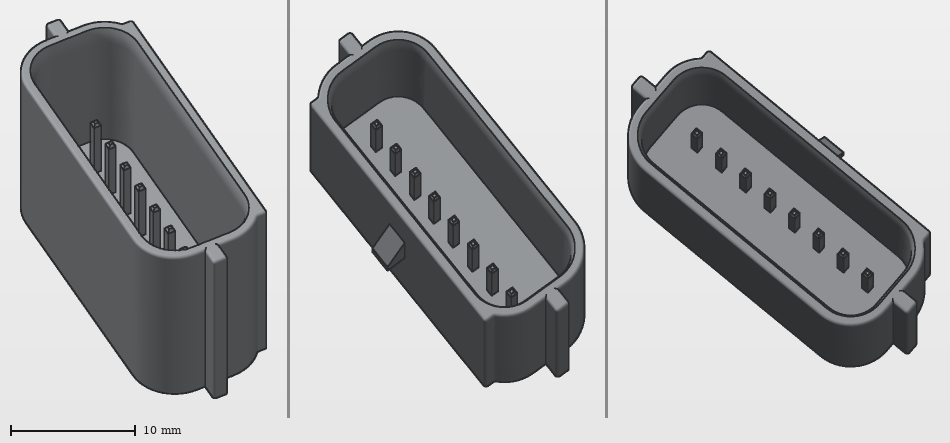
import cadquery as cq
import math

body_length = 25.95
body_width = 10.9
body_height = 16.5
corner_radius = 3.8
wall = 1.1
wall_draft = 0.5
floor_thickness = 3.47
edge_radius = 0.25

flare_width = 0.32
flare_depth = 1.35
flare_radius = (flare_depth**2 + flare_width**2) / (2 * flare_width)

flange_length = 23.28
side_arc_centre_x = body_length / 2 - corner_radius
side_arc_centre_y = body_width / 2 - corner_radius
flange_corner_offset = flange_length / 2 - side_arc_centre_x
flange_corner_y = side_arc_centre_y + math.sqrt(corner_radius**2 - flange_corner_offset**2)

rib_span = 28.95
rib_width = 1.3
rib_y = -0.25

latch_width = 2.0
latch_reach = 1.75
latch_top_depth = 5.18
latch_knee_depth = 8.15
latch_tip_depth = 9.1
latch_root_depth = 8.97

pin_count = 8
pin_pitch = 2.55
pin_y = 0.72
pin_size = 0.65
pin_height = 5.8
tip_inset = 0.17
tip_length = 0.3

back_y = body_width / 2
latch_root_y = back_y - wall / 2


def rounded_block(length, width, height, radius, bottom):
    """Upright block with rounded vertical edges, centred on the Z axis."""
    block = cq.Workplane("XY").workplane(offset=bottom).rect(length, width).extrude(height)
    return block.edges("|Z").fillet(radius)


def make_outer():
    """Solid outside: shell, back flange and end ribs, rounded along the top edge."""
    shell = rounded_block(body_length, body_width, body_height, corner_radius, 0)

    flange = (
        cq.Workplane("XY")
        .rect(flange_length, back_y)
        .extrude(body_height)
        .translate((0, back_y / 2, 0))
        .edges("|Z and >Y")
        .fillet(edge_radius)
    )
    outer = shell.union(flange)

    for side in (-1, 1):
        corner = cq.selectors.NearestToPointSelector(
            (side * flange_length / 2, flange_corner_y, body_height / 2)
        )
        outer = outer.edges("|Z").edges(corner).fillet(edge_radius)

    ribs = (
        cq.Workplane("XY")
        .rect(rib_span, rib_width)
        .extrude(body_height)
        .edges("|Z")
        .fillet(edge_radius)
        .translate((0, rib_y, 0))
    )
    return outer.union(ribs).faces(">Z").edges().fillet(edge_radius)


def make_cavity():
    """Slightly tapered pocket below a flared mouth that is cut off level with the rim."""
    length = body_length - 2 * wall
    width = body_width - 2 * wall
    radius = corner_radius - wall
    flare_bottom = body_height - flare_depth
    flare_top = flare_bottom + flare_radius
    plate_margin = 4 * flare_radius
    plate_thickness = 0.3

    pocket = (
        cq.Workplane("XY")
        .workplane(offset=flare_bottom)
        .sketch()
        .rect(length, width)
        .vertices()
        .fillet(radius)
        .finalize()
        .extrude(floor_thickness - flare_bottom, taper=wall_draft)
    )

    mouth = rounded_block(length, width, flare_top, radius, 0)
    plate = (
        cq.Workplane("XY")
        .workplane(offset=flare_top)
        .rect(length + plate_margin, width + plate_margin)
        .extrude(plate_thickness)
    )
    mouth_edges = cq.selectors.BoxSelector(
        (-length / 2, -width / 2, flare_top - plate_thickness / 2),
        (length / 2, width / 2, flare_top + plate_thickness / 2),
    )
    flare = mouth.union(plate).edges(mouth_edges).fillet(flare_radius)
    flare_band = (
        cq.Workplane("XY")
        .workplane(offset=flare_bottom)
        .rect(body_length, body_width)
        .extrude(flare_depth)
    )
    return pocket.union(flare.intersect(flare_band))


def make_latch():
    """Wedge-shaped catch on the back face."""
    profile = [
        (latch_root_y, body_height - latch_top_depth),
        (back_y, body_height - latch_top_depth),
        (back_y + latch_reach, body_height - latch_knee_depth),
        (back_y + latch_reach, body_height - latch_tip_depth),
        (back_y, body_height - latch_root_depth),
        (latch_root_y, body_height - latch_root_depth),
    ]
    return cq.Workplane("YZ").polyline(profile).close().extrude(latch_width / 2, both=True)


def make_pins():
    """Pins standing on the cavity floor, evenly spaced along X."""
    first_x = -pin_pitch * (pin_count - 1) / 2
    positions = [(first_x + i * pin_pitch, pin_y) for i in range(pin_count)]
    return (
        cq.Workplane("XY")
        .pushPoints(positions)
        .rect(pin_size, pin_size)
        .extrude(floor_thickness + pin_height)
        .faces(">Z")
        .edges()
        .chamfer(tip_length, tip_inset)
    )


result = make_outer().cut(make_cavity()).union(make_latch()).union(make_pins())